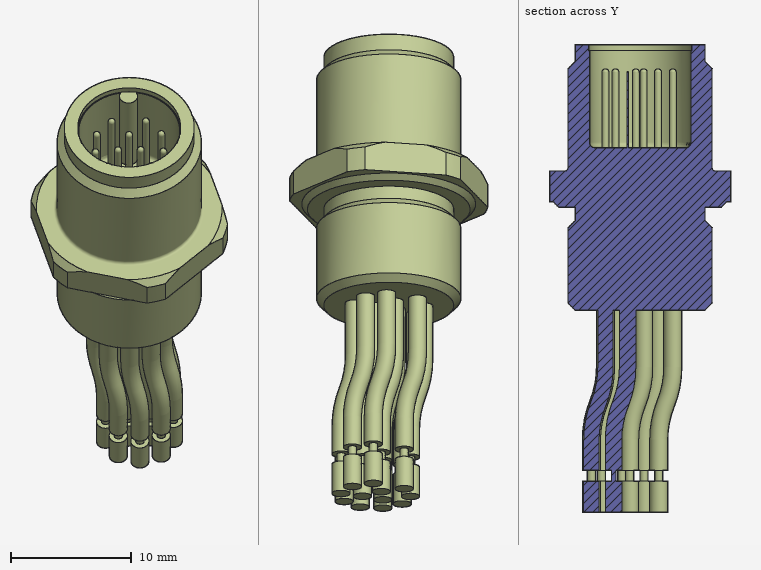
import cadquery as cq
import math

total_height = 38.8
sleeve_top = 2.6
insulation_bottom = 3.5
bend_bottom = 6.0
bend_top = 12.03
body_bottom = 16.75
groove_bottom = 24.2
flange_bottom = 25.3
nut_bottom = 25.75
nut_top = 28.32
spigot_bottom = 37.4
insert_top = 38.3
pin_top = 36.8
socket_floor = 30.25

body_radius = 12.0 / 2
neck_radius = 10.8 / 2
neck_chamfer = body_radius - neck_radius
flange_radius = 6.75
shoulder_fillet = 0.27

nut_across_flats = 15.0
nut_corner_diameter = 16.5
nut_chamfer = 0.55

mouth_radius = 4.25
socket_radius = 8.4 / 2
socket_floor_fillet = 0.4
key_radius = 1.5 / 2
key_center_radius = 3.8
key_angle = 135.0

pin_radius = 0.6 / 2
pin_tip_fillet = 0.27
inner_ring_radius = 1.1
inner_ring_count = 3
outer_ring_radius = 2.9
outer_ring_count = 9
outer_ring_pitch = 37.7

insulation_radius = 1.5 / 2
core_radius = 0.7 / 2
wire_offset = 1.15


def rod(x, y, bottom, top, radius):
    """Upright cylinder between two heights."""
    return cq.Workplane("XY", origin=(x, y, bottom)).circle(radius).extrude(top - bottom)


def ring_points(radius, count, start_angle, pitch):
    """Points spaced evenly along a circle around the body axis."""
    angles = [math.radians(start_angle + i * pitch) for i in range(count)]
    return [(radius * math.cos(a), radius * math.sin(a)) for a in angles]


def make_body():
    """Revolved shell with the neck, groove, shoulder fillet and end chamfers."""
    flange_flare = nut_bottom - flange_bottom
    fillet_middle = shoulder_fillet * (1 - math.sqrt(0.5))
    profile = (
        cq.Workplane("XZ")
        .moveTo(0, body_bottom)
        .lineTo(neck_radius, body_bottom)
        .lineTo(body_radius, body_bottom + neck_chamfer)
        .lineTo(body_radius, groove_bottom - neck_chamfer)
        .lineTo(neck_radius, groove_bottom)
        .lineTo(neck_radius, flange_bottom)
        .lineTo(flange_radius, flange_bottom)
        .lineTo(flange_radius + flange_flare, nut_bottom)
        .lineTo(flange_radius + flange_flare, nut_top)
        .lineTo(body_radius + shoulder_fillet, nut_top)
        .threePointArc(
            (body_radius + fillet_middle, nut_top + fillet_middle),
            (body_radius, nut_top + shoulder_fillet),
        )
        .lineTo(body_radius, spigot_bottom - neck_chamfer)
        .lineTo(neck_radius, spigot_bottom)
        .lineTo(neck_radius, total_height)
        .lineTo(0, total_height)
        .close()
    )
    return profile.revolve(360, (0, 0, 0), (0, 1, 0))


def make_nut():
    """Hexagon with flats facing +X and -X, trimmed by a cylinder chamfered at the top."""
    height = nut_top - nut_bottom
    across_corners = nut_across_flats / math.cos(math.radians(30))
    base = cq.Workplane("XY", origin=(0, 0, nut_bottom))
    hexagon = base.transformed(rotate=(0, 0, 30)).polygon(6, across_corners).extrude(height)
    corner_trim = base.circle(nut_corner_diameter / 2).extrude(height).faces(">Z").chamfer(nut_chamfer)
    return hexagon.intersect(corner_trim)


def make_socket():
    """Stepped cavity around the contacts, less the coding key that stands in it."""
    mouth = rod(0, 0, insert_top, total_height, mouth_radius)
    cavity = rod(0, 0, socket_floor, insert_top, socket_radius).faces("<Z").edges().fillet(socket_floor_fillet)
    [(key_x, key_y)] = ring_points(key_center_radius, 1, key_angle, 0)
    key = rod(key_x, key_y, socket_floor, insert_top, key_radius)
    return cavity.cut(key).union(mouth)


def make_pin(x, y):
    """Contact pin with a rounded tip, rooted at the socket floor."""
    return rod(x, y, socket_floor, pin_top, pin_radius).faces(">Z").edges().fillet(pin_tip_fillet)


def make_wire(x, y):
    """Insulated wire with an S-bend towards +X, a bare gap, and a short sleeve at its end."""
    bend_middle = (bend_top + bend_bottom) / 2
    path = (
        cq.Workplane("XZ", origin=(x, y, 0))
        .moveTo(0, body_bottom)
        .lineTo(0, bend_top)
        .tangentArcPoint((wire_offset / 2, bend_middle), relative=False)
        .tangentArcPoint((wire_offset, bend_bottom), relative=False)
        .lineTo(wire_offset, insulation_bottom)
    )
    insulation = cq.Workplane("XY", origin=(x, y, body_bottom)).circle(insulation_radius).sweep(path)
    end_x = x + wire_offset
    core = rod(end_x, y, sleeve_top, insulation_bottom, core_radius)
    sleeve = rod(end_x, y, 0, sleeve_top, insulation_radius)
    return insulation.union(core).union(sleeve)


inner_ring = ring_points(inner_ring_radius, inner_ring_count, key_angle, 360 / inner_ring_count)
first_outer_angle = key_angle + 180 - outer_ring_pitch * (outer_ring_count - 1) / 2
outer_ring = ring_points(outer_ring_radius, outer_ring_count, first_outer_angle, outer_ring_pitch)

result = make_body().union(make_nut()).cut(make_socket())
for contact_x, contact_y in inner_ring + outer_ring:
    result = result.union(make_pin(contact_x, contact_y))
    result = result.union(make_wire(contact_x, contact_y))